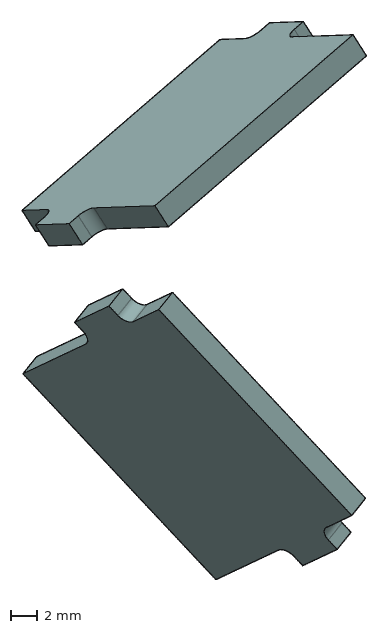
import cadquery as cq

overall_width = 26.0
tab_projection = 2.0
plate_thickness = 2.0
plate_length = 19.65
tab_length = 5.0
upper_edge_to_tab = 10.0
root_radius = 1.0
tilt_angle = 45.0

body_width = overall_width - 2 * tab_projection
tab_center = plate_length / 2 - upper_edge_to_tab - tab_length / 2

body = cq.Workplane("XY").box(plate_length, body_width, plate_thickness)
tab_bar = (
    cq.Workplane("XY")
    .center(tab_center, 0)
    .box(tab_length, overall_width, plate_thickness)
)
plate = body.union(tab_bar)

tab_roots = [
    (tab_center + x_side * tab_length / 2, y_side * body_width / 2, 0)
    for x_side in (-1, 1)
    for y_side in (-1, 1)
]
for root in tab_roots:
    plate = plate.edges(cq.selectors.NearestToPointSelector(root)).fillet(root_radius)

result = plate.rotate((0, 0, 0), (0, 1, 0), -tilt_angle)